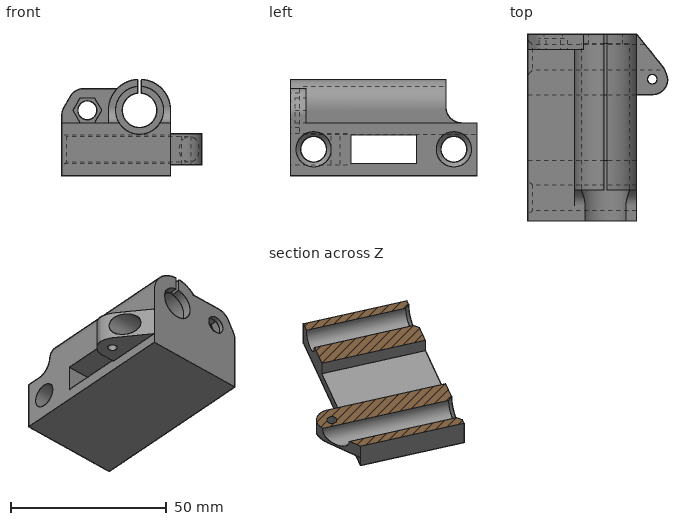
import cadquery as cq
import math

block_width = 35.0
length = 60.0
block_height = 17.0

tube_radius = 10.0
tube_x = block_width - tube_radius
tube_z = 21.0
tube_front_y = 10.0
foot_radius = 5.0
bore_radius = 7.7
end_wall = 3.0
end_hole_radius = 5.5
slot_width = 1.0
slot_edge_radius = 0.5

plate_thickness = 5.0
nut_x = 8.25
nut_z = tube_z
nut_across_flats = 8.0
nut_depth = 3.5
nut_wall = 3.0
screw_diameter = 6.0
plate_corner_radius = 5.0

cross_z = block_height / 2
cross_hole_diameter = 8.2
countersink_diameter = 11.3
cross_hole_inset = 7.5
window_length = 21.0
window_height = 9.0

lug_radius = 5.0
lug_x = block_width + lug_radius
lug_front_y = (length + window_length) / 2
lug_y = lug_front_y + lug_radius
lug_height = 10.0
lug_slope_width = 8.0
lug_slope_length = 10.0
lug_hole_diameter = 3.0


def cylinder_y(x, z, radius, y_start, y_end):
    """Cylinder along +Y between two Y positions."""
    return cq.Workplane(cq.Solid.makeCylinder(
        radius, y_end - y_start, cq.Vector(x, y_start, z), cq.Vector(0, 1, 0)))


def make_block():
    return cq.Workplane().box(block_width, length, block_height, centered=False)


def make_tube():
    """Round-topped body with straight sides and a concave foot at its front end."""
    foot_y = tube_front_y - foot_radius
    tube = cylinder_y(tube_x, tube_z, tube_radius, foot_y, length)
    sides = (
        cq.Workplane()
        .box(2 * tube_radius, length - foot_y, tube_z - block_height, centered=False)
        .translate((tube_x - tube_radius, foot_y, block_height))
    )
    top_z = tube_z + tube_radius
    arc_offset = foot_radius * math.sin(math.radians(45))
    arc_middle = (foot_y + arc_offset, block_height + foot_radius - arc_offset)
    front_relief = (
        cq.Workplane("YZ")
        .moveTo(foot_y, block_height)
        .threePointArc(arc_middle, (tube_front_y, block_height + foot_radius))
        .lineTo(tube_front_y, top_z)
        .lineTo(foot_y, top_z)
        .close()
        .extrude(block_width)
    )
    return tube.union(sides).cut(front_relief)


def make_nut_plate():
    """Plate whose top and sloping side keep an even wall around the nut."""
    half_height = nut_across_flats / 2 + nut_wall
    top_z = nut_z + half_height
    slope_top_x = nut_x - half_height * math.tan(math.radians(30))
    slope_bottom_z = top_z - slope_top_x * math.tan(math.radians(60))
    plate = (
        cq.Workplane("XZ", origin=(0, length, 0))
        .moveTo(0, block_height)
        .lineTo(0, slope_bottom_z)
        .lineTo(slope_top_x, top_z)
        .lineTo(tube_x, top_z)
        .lineTo(tube_x, block_height)
        .close()
        .extrude(plate_thickness)
    )
    inset = 1.0
    corner_region = cq.selectors.BoxSelector(
        (-inset, 0, block_height + inset), (slope_top_x + inset, length, top_z + inset))
    return plate.edges("|Y").edges(corner_region).fillet(plate_corner_radius)


def make_lug():
    """Ear with a square front side, a rounded tip and a slope running to the back corner."""
    tip_x = lug_x + lug_radius
    front_arc_middle = (
        lug_x + lug_radius * math.cos(math.radians(45)),
        lug_y - lug_radius * math.sin(math.radians(45)),
    )
    ear = (
        cq.Workplane("XY", origin=(0, 0, cross_z - lug_height / 2))
        .moveTo(block_width, length)
        .line(lug_slope_width, -lug_slope_length)
        .tangentArcPoint((tip_x, lug_y), relative=False)
        .threePointArc(front_arc_middle, (lug_x, lug_front_y))
        .lineTo(block_width, lug_front_y)
        .close()
        .extrude(lug_height)
    )
    pin_hole = cq.Workplane().center(lug_x, lug_y).circle(lug_hole_diameter / 2).extrude(block_height)
    return ear.cut(pin_hole)


def cut_bore(body):
    bore = cylinder_y(tube_x, tube_z, bore_radius, 0, length - end_wall)
    end_hole = cylinder_y(tube_x, tube_z, end_hole_radius, 0, length)
    return body.cut(bore).cut(end_hole)


def cut_slot(body):
    """Split the top of the tube lengthwise and round the outer slot edges."""
    slot = (
        cq.Workplane()
        .box(slot_width, length, tube_radius, centered=(True, False, False))
        .translate((tube_x, 0, tube_z))
    )
    edge_z = tube_z + math.sqrt(tube_radius ** 2 - (slot_width / 2) ** 2)
    margin = 0.1
    outer_edges = cq.selectors.BoxSelector(
        (tube_x - slot_width / 2 - margin, tube_front_y, edge_z - margin),
        (tube_x + slot_width / 2 + margin, length, edge_z + margin),
    )
    return body.cut(slot).edges("|Y").edges(outer_edges).fillet(slot_edge_radius)


def cut_nut_seat(body):
    """Screw hole through the plate with a hexagonal pocket open to the front."""
    across_corners = nut_across_flats / math.cos(math.radians(30))
    plate_front_y = length - plate_thickness
    pocket = (
        cq.Workplane("XZ", origin=(nut_x, plate_front_y, nut_z))
        .polygon(6, across_corners)
        .extrude(-nut_depth)
    )
    screw_hole = cylinder_y(nut_x, nut_z, screw_diameter / 2, plate_front_y, length)
    return body.cut(pocket).cut(screw_hole)


def cut_cross_features(body):
    """Window and two countersunk holes, all passing through along X."""
    through = lug_x + lug_radius
    window = (
        cq.Workplane("YZ", origin=(0, length / 2, cross_z))
        .rect(window_length, window_height)
        .extrude(through)
    )
    body = body.cut(window)
    countersink_depth = (countersink_diameter - cross_hole_diameter) / 2
    for y in (cross_hole_inset, length - cross_hole_inset):
        mouth = cq.Vector(0, y, cross_z)
        along_x = cq.Vector(1, 0, 0)
        hole = cq.Solid.makeCylinder(cross_hole_diameter / 2, through, mouth, along_x)
        countersink = cq.Solid.makeCone(
            countersink_diameter / 2, cross_hole_diameter / 2, countersink_depth, mouth, along_x)
        body = body.cut(cq.Workplane(hole)).cut(cq.Workplane(countersink))
    return body


body = make_block().union(make_tube()).union(make_nut_plate()).union(make_lug())
body = cut_bore(body)
body = cut_slot(body)
body = cut_nut_seat(body)
result = cut_cross_features(body)